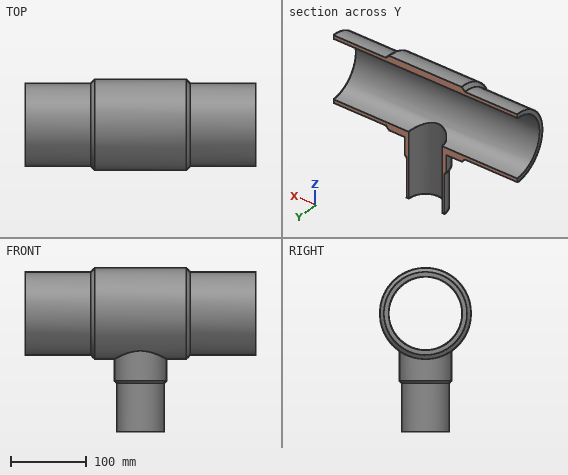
import cadquery as cq

run_length = 305.0
run_outer_diameter = 110.0
run_bore_diameter = 96.8

sleeve_diameter = 121.0
sleeve_length = 131.5
sleeve_chamfer = (sleeve_diameter - run_outer_diameter) / 2

branch_reach = 156.5
branch_outer_diameter = 63.0
branch_bore_diameter = 55.4

collar_diameter = 69.3
collar_reach = 92.0
collar_chamfer = (collar_diameter - branch_outer_diameter) / 2


def run_cylinder(diameter, length):
    """Cylinder along X, centred on the origin."""
    start_plane = cq.Workplane("YZ").workplane(offset=-length / 2)
    return start_plane.circle(diameter / 2).extrude(length)


def branch_cylinder(diameter, reach):
    """Cylinder from the run axis straight down to the given reach."""
    return cq.Workplane("XY").circle(diameter / 2).extrude(-reach)


def make_run():
    pipe = run_cylinder(run_outer_diameter, run_length)
    sleeve = run_cylinder(sleeve_diameter, sleeve_length)
    sleeve = sleeve.faces("<X or >X").chamfer(sleeve_chamfer)
    return pipe.union(sleeve)


def make_branch():
    pipe = branch_cylinder(branch_outer_diameter, branch_reach)
    collar = branch_cylinder(collar_diameter, collar_reach)
    collar = collar.faces("<Z").chamfer(collar_chamfer)
    return pipe.union(collar)


def make_bores():
    run_bore = run_cylinder(run_bore_diameter, run_length)
    branch_bore = branch_cylinder(branch_bore_diameter, branch_reach)
    return run_bore.union(branch_bore)


result = make_run().union(make_branch()).cut(make_bores())